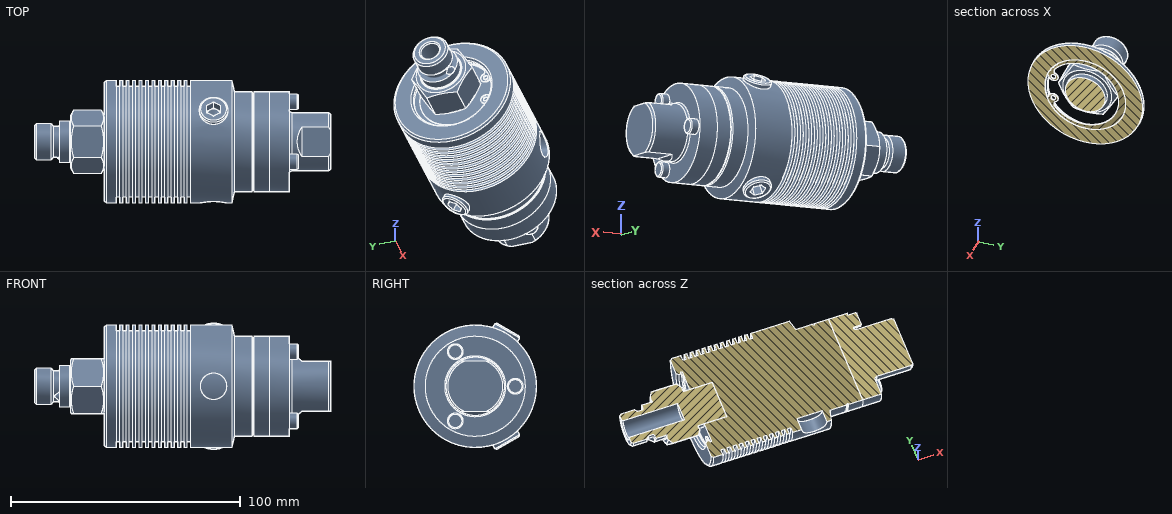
import cadquery as cq
import math


bore_dia = 8.5
bore_mouth_dia = 9.7
bore_depth = 25.8
thread_dia = 16.0
thread_chamfer = 0.9
thread_end = 7.2
neck_dia = 13.5
neck_start = 8.3
neck_fillet = 0.5
collar_dia = 18.2
collar_start = 10.8
collar_end = 15.2
undercut_dia = 18.0
shaft_dia = 18.7
shaft_end = 43.8
hex_flats = 24.0
hex_start = 15.6
hex_end = 30.5
hex_face_dia = 22.7
hex_chamfer_length = 1.4
hex_countersink_dia = 19.1
hex_countersink_depth = 0.4

nib_dia = 4.1
nib_height = 2.5
nib_radius = 7.2
nib_angle = 217.0

housing_dia = 53.4
housing_start = 30.3
housing_chamfer = 0.9
fin_zone_start = 35.6
fin_zone_length = 32.2
fin_groove_count = 12
fin_groove_width = 1.4
fin_root_dia = 48.4
shoulder_start = 85.9
shoulder_end = 87.0
flange_dia = 43.6
ring_groove_start = 94.5
ring_groove_end = 95.5
ring_groove_depth = 0.5
seam_position = 102.3

recess_dia = 35.5
recess_mouth_dia = 37.3
recess_chamfer_length = 1.0
recess_depth = 2.8

port_position = 77.9
port_dia = 11.5
port_floor_dia = 41.5
open_port_angle = 180.0
plug_angles = (60.0, -60.0)
plug_collar_dia = 12.5
plug_chamfer = 0.6
plug_height = 28.5
socket_flats = 6.0
socket_depth = 5.2
socket_tip_height = 1.3

circlip_thickness = 0.5
circlip_start = housing_start + recess_depth - circlip_thickness
circlip_dia = recess_mouth_dia
circlip_inner_dia = 33.0
circlip_offset = 1.2
circlip_web_y = -14.3
lug_dia = 4.5
lug_hole_dia = 2.0
lug_y = -14.8
lug_spacing = 11.9

cap_end = 110.9
stem_dia = 25.4
stem_root_dia = 26.6
stem_root_length = 1.0
stem_end = 129.0
stem_chamfer_length = 1.0
stem_chamfer_depth = 0.8
flat_spacing = 21.9
flat_start = 116.3
flat_runout = 2.0
screw_count = 3
screw_dia = 6.8
screw_circle_radius = 17.4
screw_head_end = 114.8
screw_chamfer = 0.5


def cylinder(diameter, start, end, y=0.0, z=0.0):
    """Cylinder parallel to X between two X positions."""
    plane = cq.Workplane("YZ", origin=(start, y, z))
    return plane.circle(diameter / 2).extrude(end - start)


def turned(profile):
    """Solid of revolution about X from (x, diameter) points, closed along the axis."""
    points = [(x, diameter / 2) for x, diameter in profile]
    outline = [(points[0][0], 0.0)] + points + [(points[-1][0], 0.0)]
    return cq.Workplane("XY").polyline(outline).close().revolve(360, (0, 0, 0), (1, 0, 0))


def hexagon(plane, flats, length):
    """Hexagonal prism with two corners on the local X axis of the plane."""
    return cq.Workplane(plane).polygon(6, flats / math.cos(math.pi / 6)).extrude(length)


def radial_plane(angle, height):
    """Plane facing outward at an angle from +Y towards +Z, at a height above the X axis."""
    direction = (0.0, math.cos(math.radians(angle)), math.sin(math.radians(angle)))
    origin = (port_position, height * direction[1], height * direction[2])
    tangent = (0.0, -direction[2], direction[1])
    return cq.Plane(origin=origin, xDir=tangent, normal=direction)


def make_rotor():
    """Threaded nose, collar, wrench hexagon and shaft, with a blind bore from the -X end."""
    body = turned([
        (0.0, thread_dia - 2 * thread_chamfer),
        (thread_chamfer, thread_dia),
        (thread_end, thread_dia),
        (neck_start, neck_dia),
        (collar_start, neck_dia),
        (collar_start, collar_dia),
        (collar_end, collar_dia),
        (collar_end, undercut_dia),
        (hex_end, undercut_dia),
        (hex_end, shaft_dia),
        (shaft_end, shaft_dia),
    ])
    neck_edges = body.edges(cq.selectors.RadiusNthSelector(0))
    body = neck_edges.edges(">X").fillet(neck_fillet)
    hex_corners = hex_flats / math.cos(math.pi / 6)
    hex_plane = cq.Plane(origin=(hex_start, 0, 0), xDir=(0, 1, 0), normal=(1, 0, 0))
    hex_envelope = turned([
        (hex_start, hex_face_dia),
        (hex_start + hex_chamfer_length, hex_corners),
        (hex_end - hex_chamfer_length, hex_corners),
        (hex_end, hex_face_dia),
    ])
    hex_collar = hexagon(hex_plane, hex_flats, hex_end - hex_start).intersect(hex_envelope)
    countersink = turned([
        (hex_start, hex_countersink_dia),
        (hex_start + hex_countersink_depth, undercut_dia),
    ])
    hex_collar = hex_collar.cut(countersink)
    bore_chamfer = (bore_mouth_dia - bore_dia) / 2
    bore = turned([
        (0.0, bore_mouth_dia),
        (bore_chamfer, bore_dia),
        (bore_depth, bore_dia),
    ])
    nib_center = (
        collar_start,
        nib_radius * math.cos(math.radians(nib_angle)),
        nib_radius * math.sin(math.radians(nib_angle)),
    )
    nib = cq.Workplane(cq.Solid.makeCone(
        nib_dia / 2, 0.0, nib_height, cq.Vector(*nib_center), cq.Vector(-1, 0, 0)))
    return hex_collar.union(body).union(nib).cut(bore)


def make_plug(angle):
    """Socket plug standing proud of the housing, reaching down to the port floor."""
    floor_height = port_floor_dia / 2
    plug = cq.Workplane(radial_plane(angle, floor_height)).circle(plug_collar_dia / 2)
    plug = plug.extrude(plug_height - floor_height)
    outward = radial_plane(angle, plug_height).zDir
    return plug.faces(cq.selectors.DirectionMinMaxSelector(outward, True)).chamfer(plug_chamfer)


def make_socket(angle):
    """Hexagonal socket with a conical floor."""
    floor_plane = radial_plane(angle, plug_height - socket_depth)
    socket = hexagon(floor_plane, socket_flats, socket_depth)
    tip = cq.Workplane(cq.Solid.makeCone(
        socket_flats / 2, 0.0, socket_tip_height, floor_plane.origin, -floor_plane.zDir))
    return socket.union(tip)


def make_open_port():
    """Radial hole whose floor is a cylinder about the X axis."""
    port = cq.Workplane(radial_plane(open_port_angle, 0)).circle(port_dia / 2).extrude(housing_dia)
    core = cylinder(port_floor_dia, port_position - port_dia, port_position + port_dia)
    return port.cut(core)


def make_fin_grooves():
    """Evenly pitched ring cutters that leave the thin fins between them."""
    pitch = (fin_zone_length - fin_groove_width) / (fin_groove_count - 1)
    grooves = []
    for i in range(fin_groove_count):
        start = fin_zone_start + i * pitch
        end = start + fin_groove_width
        ring = cylinder(housing_dia, start, end).cut(cylinder(fin_root_dia, start, end))
        grooves.append(ring)
    return grooves


def make_housing():
    """Finned body with its recess, shaft hole, open port and two fixed port plugs."""
    ring_groove_dia = flange_dia - 2 * ring_groove_depth
    body = turned([
        (housing_start, housing_dia - 2 * housing_chamfer),
        (housing_start + housing_chamfer, housing_dia),
        (shoulder_start, housing_dia),
        (shoulder_end, flange_dia),
        (ring_groove_start, flange_dia),
        (ring_groove_start + ring_groove_depth, ring_groove_dia),
        (ring_groove_end, ring_groove_dia),
        (ring_groove_end, flange_dia),
        (seam_position, flange_dia),
    ])
    for groove in make_fin_grooves():
        body = body.cut(groove)
    recess = turned([
        (housing_start, recess_mouth_dia),
        (housing_start + recess_chamfer_length, recess_dia),
        (housing_start + recess_depth, recess_dia),
    ])
    circlip_groove = cylinder(circlip_dia, circlip_start, circlip_start + circlip_thickness)
    shaft_hole = cylinder(shaft_dia, housing_start, shaft_end)
    body = body.cut(recess).cut(circlip_groove).cut(shaft_hole).cut(make_open_port())
    for angle in plug_angles:
        body = body.union(make_plug(angle)).cut(make_socket(angle))
    return body


def make_circlip():
    """Internal retaining ring, tapering towards a gap on the -Y side with a holed lug at each end."""
    end = circlip_start + circlip_thickness
    rim = cylinder(circlip_dia, circlip_start, end)
    opening = cylinder(circlip_inner_dia, circlip_start, end, y=-circlip_offset)
    web = cq.Workplane("XY").box(
        circlip_thickness, circlip_dia, circlip_dia, centered=(False, False, True),
    ).translate((circlip_start, circlip_web_y - circlip_dia, 0))
    ring = rim.cut(opening.cut(web))
    gap = cq.Workplane("XY").box(
        circlip_thickness, circlip_dia, lug_spacing, centered=(False, False, True),
    ).translate((circlip_start, -circlip_dia, 0))
    ring = ring.cut(gap)
    for z in (-lug_spacing / 2, lug_spacing / 2):
        ring = ring.union(cylinder(lug_dia, circlip_start, end, lug_y, z).intersect(rim))
        ring = ring.cut(cylinder(lug_hole_dia, circlip_start, end, lug_y, z))
    return ring


def make_flat_cut(side):
    """Wedge-ended block that leaves one wrench flat on the +Z (side=1) or -Z (side=-1) of the stem."""
    flat_z = flat_spacing / 2
    rise = stem_dia / 2 - flat_z
    outer_z = flat_z + 2 * rise
    outline = [
        (stem_end, side * flat_z),
        (flat_start, side * flat_z),
        (flat_start - 2 * flat_runout, side * outer_z),
        (stem_end, side * outer_z),
    ]
    return cq.Workplane("XZ").polyline(outline).close().extrude(stem_dia / 2, both=True)


def make_end_cap():
    """Flange with three fixed screw heads and a stem with two wrench flats."""
    cap = turned([
        (seam_position, flange_dia),
        (cap_end, flange_dia),
        (cap_end, stem_root_dia),
        (cap_end + stem_root_length, stem_dia),
        (stem_end - stem_chamfer_length, stem_dia),
        (stem_end, stem_dia - 2 * stem_chamfer_depth),
    ])
    for side in (1, -1):
        cap = cap.cut(make_flat_cut(side))
    for i in range(screw_count):
        angle = 2 * math.pi * i / screw_count
        y = screw_circle_radius * math.cos(angle)
        z = screw_circle_radius * math.sin(angle)
        head = cylinder(screw_dia, cap_end, screw_head_end, y, z).faces(">X").chamfer(screw_chamfer)
        cap = cap.union(head)
    return cap


rotor = make_rotor()
housing = make_housing()
circlip = make_circlip()
end_cap = make_end_cap()

result = cq.Compound.makeCompound([rotor.val(), housing.val(), circlip.val(), end_cap.val()])